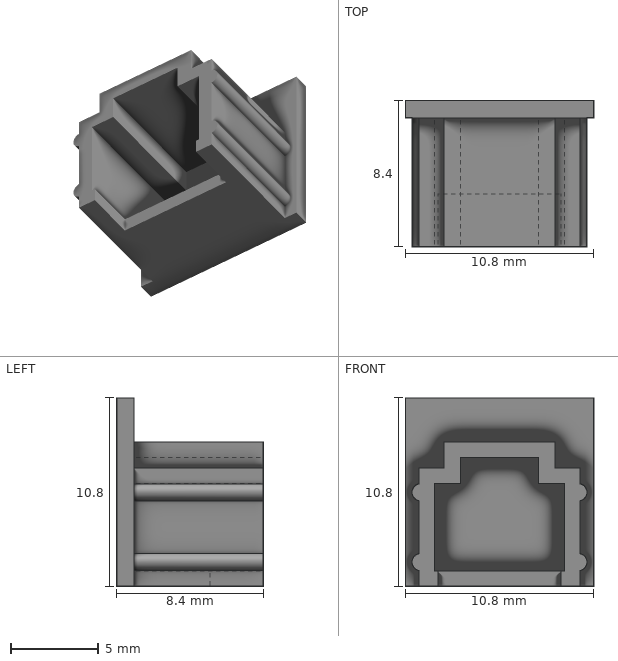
import cadquery as cq

plate_size = 10.8
total_depth = 8.4
plate_thickness = 1.0
body_depth = total_depth - plate_thickness

wall = 0.89
body_width = 9.22
shoulder_height = 6.79
crown_width = 6.36
crown_height = 8.27
crown_wall = 0.94

notch_width = 7.04
notch_depth = 3.05

rib_radius = 0.5
rib_span = 10.02
rib_heights = (1.39, 5.39)


def stepped_prism(lower_width, bottom, lower_top, upper_width, upper_top):
    """Stepped profile, symmetric in X, extruded from the open front to the plate."""
    half_lower = lower_width / 2
    half_upper = upper_width / 2
    outline = [
        (-half_lower, bottom),
        (half_lower, bottom),
        (half_lower, lower_top),
        (half_upper, lower_top),
        (half_upper, upper_top),
        (-half_upper, upper_top),
        (-half_upper, lower_top),
        (-half_lower, lower_top),
    ]
    return cq.Workplane("XZ").polyline(outline).close().extrude(-body_depth)


def make_plate():
    return cq.Workplane("XY").box(
        plate_size, plate_thickness, plate_size, centered=(True, False, False)
    ).translate((0, body_depth, 0))


def make_ribs():
    rib_x = rib_span / 2 - rib_radius
    centers = [(side * rib_x, height) for side in (-1, 1) for height in rib_heights]
    return cq.Workplane("XZ").pushPoints(centers).circle(rib_radius).extrude(-body_depth)


def make_cavity():
    return stepped_prism(
        body_width - 2 * wall,
        wall,
        shoulder_height - wall,
        crown_width - 2 * crown_wall,
        crown_height - wall,
    )


def make_floor_notch():
    return cq.Workplane("XY").box(notch_width, notch_depth, wall, centered=(True, False, False))


body = stepped_prism(body_width, 0, shoulder_height, crown_width, crown_height)
shell = body.union(make_ribs()).cut(make_cavity()).cut(make_floor_notch())
result = make_plate().union(shell)